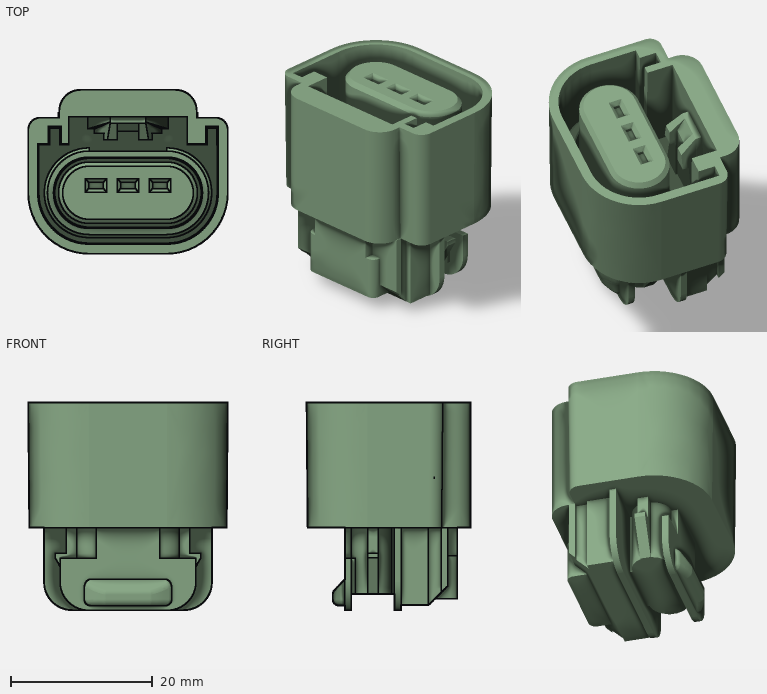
import cadquery as cq
import math


SHROUD_HEIGHT = 17.65
SHROUD_HALF_WIDTH = 14.08
SHROUD_BACK = 10.6
SHROUD_BACK_RADIUS = 1.75
END_CENTER_X = 5.47
SHROUD_FRONT_RADIUS = SHROUD_HALF_WIDTH - END_CENTER_X
DRAFT = 0.5
KEYWAY_DRAFT = 0.8
TAB_HALF_WIDTH = 9.7
TAB_BACK = 14.52
TAB_RADIUS = 3.0

FLOOR_Z = 2.0
CAVITY_HALF_WIDTH = 12.72
CAVITY_BACK = 6.88
CAVITY_FRONT_RADIUS = CAVITY_HALF_WIDTH - END_CENTER_X
LATCH_BAY_HALF_WIDTH = 8.35
LATCH_BAY_BACK = 10.7
KEYWAY_BACK = 9.34
LEFT_KEYWAY = (-11.25, -9.42)
RIGHT_KEYWAY = (10.93, CAVITY_HALF_WIDTH)

CORE_TOP = 16.7
CORE_RADIUS = 4.32
CORE_CHAMFER_INSET = 0.58
CORE_CHAMFER_DROP = 0.65
TERMINAL_COUNT = 3
TERMINAL_PITCH = 4.5
TERMINAL_Y = 1.03
FUNNEL_WIDTH = 3.08
FUNNEL_DEPTH_Y = 1.94
FUNNEL_DROP = 0.6
SLOT_WIDTH = 2.07
SLOT_DEPTH_Y = 0.87
SLOT_DROP = 0.5

SEAL_TOP = 8.0
SEAL_OUTER_RADIUS = 6.33
SEAL_INNER_RADIUS = 4.85
SEAL_CHAMFER = 0.45
SEAL_LEAD_IN = 0.18
SEAL_BACK = SEAL_OUTER_RADIUS - SEAL_CHAMFER

HOOK_TOP = 13.9
HOOK_TOP_HALF_WIDTH = 2.5
HOOK_TOP_FRONT = 9.8
HOOK_RAMP_BOTTOM = 11.8
HOOK_LIP_FRONT = 7.5
HOOK_LIP_BOTTOM = 9.15
HOOK_ARM_FRONT = 8.4
HOOK_FOOT_HALF_WIDTH = 4.75
HOOK_WINDOW_HALF_WIDTH = 1.5
HOOK_WINDOW_FRONT = 8.65
WING_FOOT_HALF_WIDTH = 5.65
WING_FOOT_FRONT = 9.0
WING_TOP_FRONT = 9.95

SKIRT_BOTTOM = -11.65
SKIRT_RADIUS = 4.0
REAR_PLATE_HALF_WIDTH = 11.85
REAR_PLATE_FRONT = 3.8
REAR_PLATE_BACK = 4.74
FRONT_PLATE_HALF_WIDTH = 9.57
FRONT_PLATE_FRONT = -3.2
FRONT_PLATE_BACK = -2.26
FRONT_PLATE_TOP = -4.3

NECK_HALF_WIDTH = 4.45
COLUMN_BOTTOM = -9.36
COLUMN_RADIUS = 2.85
COLUMN_HALF_WIDTH = NECK_HALF_WIDTH + COLUMN_RADIUS
COLUMN_CENTER_Y = FRONT_PLATE_BACK + COLUMN_RADIUS
PAD_HALF_WIDTH = 7.0
PAD_BACK = -1.7
ARM_DEPTH_Y = 1.54
ARM_HALF_WIDTH = 8.7
BARB_HALF_WIDTH = 10.27
BARB_TOP = -3.62
BARB_BOTTOM = -4.27

BLOCK_HALF_WIDTH = 9.9
BLOCK_BACK = 8.59
BLOCK_BOTTOM = -10.94
WEB_HALF_WIDTH = 9.1
RAIL_HALF_WIDTH = 9.8
RAIL_FRONT = 10.38
RAIL_BACK = 11.28
LEVER_FRONT = 9.6
LEVER_BACK = 12.65
LEVER_STEP_Z = -4.0
LEVER_BOTTOM = -10.04
LEVER_HALF_WIDTH = 6.5
LEVER_STEM_HALF_WIDTH = 5.0
LEVER_RADIUS = 1.05

NUB_HALF_WIDTH = 6.17
NUB_FACE_HALF_WIDTH = 3.2
NUB_TOP = -7.28
NUB_FACE_TOP = -9.07
NUB_BOTTOM = -11.0
NUB_FACE = -4.91
NUB_SLOPE = (NUB_TOP - NUB_FACE_TOP) / (FRONT_PLATE_FRONT - NUB_FACE)
NUB_ROOT_TOP = NUB_TOP + NUB_SLOPE * (FRONT_PLATE_BACK - FRONT_PLATE_FRONT)
NUB_END_Y = -3.65
NUB_END_RADIUS = 9.0
NUB_SIDE_FILLET = 0.8
NUB_UPPER_FILLET = 0.9
NUB_LOWER_FILLET = 0.9


def box(x_min, x_max, y_min, y_max, z_min, z_max):
    """Axis-aligned box given by its limits."""
    size = (x_max - x_min, y_max - y_min, z_max - z_min)
    return cq.Workplane("XY").box(*size, centered=False).translate((x_min, y_min, z_min))


def centered_box(half_width, y_min, y_max, z_min, z_max):
    """Box symmetric about the YZ plane."""
    return box(-half_width, half_width, y_min, y_max, z_min, z_max)


def oval(radius, z_min, z_max, center_x=END_CENTER_X):
    """Upright oval prism with its end centres at +/- center_x."""
    return (
        cq.Workplane("XY", origin=(0, 0, z_min))
        .slot2D(2 * (center_x + radius), 2 * radius)
        .extrude(z_max - z_min)
    )


def side_prism(points, half_width):
    """Prism along X, symmetric about the YZ plane, from a profile of (Y, Z) points."""
    return cq.Workplane("YZ", origin=(-half_width, 0, 0)).polyline(points).close().extrude(2 * half_width)


def drafted_d_prism(half_width, back, radius, depth):
    """Prism with a square back and round front corners, narrowing down from the shroud top."""
    arc_offset = radius * math.sqrt(0.5)
    flat = half_width - radius
    return (
        cq.Workplane("XY", origin=(0, 0, SHROUD_HEIGHT))
        .moveTo(half_width, 0)
        .lineTo(half_width, back)
        .lineTo(-half_width, back)
        .lineTo(-half_width, 0)
        .threePointArc((-flat - arc_offset, -arc_offset), (-flat, -radius))
        .lineTo(flat, -radius)
        .threePointArc((flat + arc_offset, -arc_offset), (half_width, 0))
        .close()
        .extrude(-depth, taper=DRAFT)
    )


def make_shroud():
    body = drafted_d_prism(SHROUD_HALF_WIDTH, SHROUD_BACK, SHROUD_FRONT_RADIUS, SHROUD_HEIGHT)
    body = body.faces(">Y").edges("not |X").fillet(SHROUD_BACK_RADIUS)
    tab = centered_box(TAB_HALF_WIDTH, 0, TAB_BACK, 0, SHROUD_HEIGHT)
    tab = tab.edges("|Z and >Y").fillet(TAB_RADIUS)
    return body.union(tab)


def make_cavity():
    depth = SHROUD_HEIGHT - FLOOR_Z
    cavity = drafted_d_prism(CAVITY_HALF_WIDTH, CAVITY_BACK, CAVITY_FRONT_RADIUS, depth)
    latch_bay = centered_box(LATCH_BAY_HALF_WIDTH, 0, LATCH_BAY_BACK, FLOOR_Z, SHROUD_HEIGHT)
    cavity = cavity.union(latch_bay)
    for x_min, x_max in (LEFT_KEYWAY, RIGHT_KEYWAY):
        keyway = (
            cq.Workplane("XY", origin=((x_min + x_max) / 2, KEYWAY_BACK / 2, SHROUD_HEIGHT))
            .rect(x_max - x_min, KEYWAY_BACK)
            .extrude(-depth, taper=KEYWAY_DRAFT)
        )
        cavity = cavity.union(keyway)
    return cavity


def make_core():
    core = oval(CORE_RADIUS, 0, CORE_TOP)
    core = core.faces(">Z").chamfer(CORE_CHAMFER_DROP, CORE_CHAMFER_INSET)
    for index in range(TERMINAL_COUNT):
        x = (index - (TERMINAL_COUNT - 1) / 2) * TERMINAL_PITCH
        funnel = (
            cq.Workplane("XY", origin=(x, TERMINAL_Y, CORE_TOP))
            .rect(FUNNEL_WIDTH, FUNNEL_DEPTH_Y)
            .workplane(offset=-FUNNEL_DROP)
            .rect(SLOT_WIDTH, SLOT_DEPTH_Y)
            .loft()
        )
        slot = (
            cq.Workplane("XY", origin=(x, TERMINAL_Y, CORE_TOP))
            .rect(SLOT_WIDTH, SLOT_DEPTH_Y)
            .extrude(-FUNNEL_DROP - SLOT_DROP)
        )
        core = core.cut(funnel).cut(slot)
    return core


def make_seal():
    ring = oval(SEAL_OUTER_RADIUS, 0, SEAL_TOP).faces(">Z").chamfer(SEAL_CHAMFER)
    groove = oval(SEAL_INNER_RADIUS, FLOOR_Z, SEAL_TOP)
    lead_in_mouth = oval(SEAL_INNER_RADIUS + SEAL_LEAD_IN, FLOOR_Z, SEAL_TOP)
    lead_in = lead_in_mouth.faces("<Z").chamfer(SEAL_LEAD_IN)
    lead_in = lead_in.translate((0, 0, SEAL_TOP - SEAL_LEAD_IN - FLOOR_Z))
    back_flat = centered_box(END_CENTER_X, SEAL_BACK, CAVITY_BACK, FLOOR_Z, SEAL_TOP)
    return ring.cut(groove).cut(lead_in).cut(back_flat)


def make_hook_wings():
    foot_depth = LATCH_BAY_BACK - WING_FOOT_FRONT
    top_depth = LATCH_BAY_BACK - WING_TOP_FRONT
    return (
        cq.Workplane("XY", origin=(0, LATCH_BAY_BACK - foot_depth / 2, FLOOR_Z))
        .rect(2 * WING_FOOT_HALF_WIDTH, foot_depth)
        .workplane(offset=HOOK_TOP - FLOOR_Z)
        .center(0, (foot_depth - top_depth) / 2)
        .rect(2 * HOOK_TOP_HALF_WIDTH, top_depth)
        .loft()
    )


def make_hook():
    """Latch hook: a ramped lip on an arm that widens towards the floor."""
    arm_points = [
        (LATCH_BAY_BACK, HOOK_TOP),
        (HOOK_TOP_FRONT, HOOK_TOP),
        (HOOK_LIP_FRONT, HOOK_RAMP_BOTTOM),
        (HOOK_LIP_FRONT, HOOK_LIP_BOTTOM),
        (HOOK_ARM_FRONT, HOOK_LIP_BOTTOM),
        (HOOK_ARM_FRONT, FLOOR_Z),
        (LATCH_BAY_BACK, FLOOR_Z),
    ]
    flanks = (
        cq.Workplane("XZ", origin=(0, LATCH_BAY_BACK, 0))
        .moveTo(0, FLOOR_Z)
        .lineTo(HOOK_FOOT_HALF_WIDTH, FLOOR_Z)
        .lineTo(HOOK_TOP_HALF_WIDTH, HOOK_TOP)
        .lineTo(0, HOOK_TOP)
        .mirrorY()
        .extrude(LATCH_BAY_BACK - HOOK_LIP_FRONT)
    )
    window_points = [
        (HOOK_TOP_FRONT, HOOK_TOP),
        (HOOK_WINDOW_FRONT, HOOK_RAMP_BOTTOM),
        (HOOK_WINDOW_FRONT, FLOOR_Z),
        (HOOK_LIP_FRONT, FLOOR_Z),
        (HOOK_LIP_FRONT, HOOK_TOP),
    ]
    arm = side_prism(arm_points, HOOK_FOOT_HALF_WIDTH).intersect(flanks)
    window = side_prism(window_points, HOOK_WINDOW_HALF_WIDTH)
    return arm.union(make_hook_wings()).cut(window)


def skirt_plate(half_width, y_min, y_max, z_max):
    """Upright plate with rounded lower corners."""
    plate = centered_box(half_width, y_min, y_max, SKIRT_BOTTOM, z_max)
    return plate.edges("|Y and <Z").fillet(SKIRT_RADIUS)


def make_column():
    column = oval(COLUMN_RADIUS, COLUMN_BOTTOM, 0, NECK_HALF_WIDTH)
    column = column.translate((0, COLUMN_CENTER_Y, 0))
    neck = centered_box(NECK_HALF_WIDTH, FRONT_PLATE_FRONT, REAR_PLATE_FRONT, COLUMN_BOTTOM, 0)
    pad = centered_box(PAD_HALF_WIDTH, FRONT_PLATE_BACK, PAD_BACK, COLUMN_BOTTOM, FRONT_PLATE_TOP)
    arms = (
        cq.Workplane("XZ", origin=(0, ARM_DEPTH_Y, 0))
        .moveTo(0, 0)
        .lineTo(ARM_HALF_WIDTH, 0)
        .lineTo(ARM_HALF_WIDTH, BARB_TOP)
        .lineTo(BARB_HALF_WIDTH, BARB_TOP)
        .lineTo(BARB_HALF_WIDTH, BARB_BOTTOM)
        .lineTo(COLUMN_HALF_WIDTH, COLUMN_BOTTOM)
        .lineTo(0, COLUMN_BOTTOM)
        .mirrorY()
        .extrude(ARM_DEPTH_Y)
    )
    return column.union(neck).union(pad).union(arms)


def make_rear_block():
    block = centered_box(BLOCK_HALF_WIDTH, REAR_PLATE_BACK, BLOCK_BACK, BLOCK_BOTTOM, 0)
    web = centered_box(WEB_HALF_WIDTH, BLOCK_BACK, RAIL_FRONT, BLOCK_BOTTOM, 0)
    rails = centered_box(RAIL_HALF_WIDTH, RAIL_FRONT, RAIL_BACK, BLOCK_BOTTOM, 0)
    slope_rise = RAIL_BACK - BLOCK_BACK
    slope_points = [
        (BLOCK_BACK, BLOCK_BOTTOM),
        (RAIL_BACK, BLOCK_BOTTOM),
        (RAIL_BACK, BLOCK_BOTTOM + slope_rise),
    ]
    return block.union(web).union(rails).cut(side_prism(slope_points, BLOCK_HALF_WIDTH))


def make_lever():
    stem = centered_box(LEVER_STEM_HALF_WIDTH, LEVER_FRONT, LEVER_BACK, LEVER_STEP_Z, 0)
    lever = centered_box(LEVER_HALF_WIDTH, LEVER_FRONT, LEVER_BACK, LEVER_BOTTOM, LEVER_STEP_Z)
    lever = lever.edges("|Z and >Y").fillet(LEVER_RADIUS)
    return stem.union(lever)


def make_nub():
    """Grip nub with a sloped top and rounded ends, rooted in the front plate."""
    side_points = [
        (FRONT_PLATE_BACK, NUB_ROOT_TOP),
        (NUB_FACE, NUB_FACE_TOP),
        (NUB_FACE, NUB_BOTTOM),
        (FRONT_PLATE_BACK, NUB_BOTTOM),
    ]
    rounded_ends = (
        cq.Workplane("XY", origin=(0, 0, NUB_BOTTOM))
        .moveTo(0, FRONT_PLATE_BACK)
        .lineTo(NUB_HALF_WIDTH, FRONT_PLATE_BACK)
        .lineTo(NUB_HALF_WIDTH, NUB_END_Y)
        .radiusArc((NUB_FACE_HALF_WIDTH, NUB_FACE), NUB_END_RADIUS)
        .lineTo(0, NUB_FACE)
        .mirrorY()
        .extrude(NUB_ROOT_TOP - NUB_BOTTOM)
    )
    nub = side_prism(side_points, NUB_HALF_WIDTH).intersect(rounded_ends)
    nub = nub.edges("|Z and (not >Y)").fillet(NUB_SIDE_FILLET)
    nub = nub.faces("<Z").edges("not >Y").fillet(NUB_LOWER_FILLET)
    return nub.faces(">Z").edges("not >Y").fillet(NUB_UPPER_FILLET)


result = (
    make_shroud()
    .cut(make_cavity())
    .union(make_seal())
    .union(make_core())
    .union(make_hook())
    .union(skirt_plate(REAR_PLATE_HALF_WIDTH, REAR_PLATE_FRONT, REAR_PLATE_BACK, 0))
    .union(skirt_plate(FRONT_PLATE_HALF_WIDTH, FRONT_PLATE_FRONT, FRONT_PLATE_BACK, FRONT_PLATE_TOP))
    .union(make_column())
    .union(make_rear_block())
    .union(make_lever())
    .union(make_nub())
)